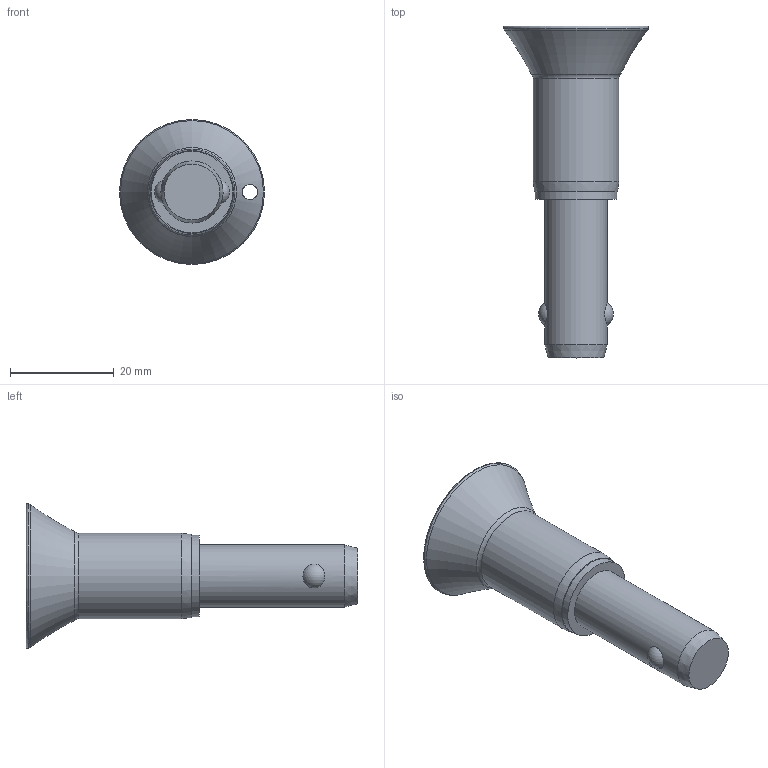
import cadquery as cq
import math


overall_length = 64.1
handle_length = 33.45
collar_length = 1.5
handle_edge_length = 2.0
head_length = 9.3
neck_blend_length = 0.9
tip_length = 2.55
ball_to_tip = 8.5

head_radius = 14.0
head_neck_radius = 8.6
handle_radius = 8.25
handle_edge_radius = 8.0
collar_radius = 7.85
shank_radius = 6.0
tip_radius = 5.4

rim_round = 0.4
rim_front_inset = 0.2

flare_sag = 0.2
rim_front_sag = 0.05
handle_edge_sag = 0.06

ball_reach = 7.25
ball_radius = 2.42

hole_diameter = 3.0
hole_offset = 11.2

tip_y = handle_length - overall_length
tip_start_y = tip_y + tip_length
head_neck_y = handle_length - head_length
neck_end_y = head_neck_y - neck_blend_length
rim_edge_y = handle_length - rim_round
rim_front_y = rim_edge_y - rim_round
ball_y = tip_y + ball_to_tip


def arc_midpoint(start, end, bulge):
    """Middle point of an arc between two (radius, y) points with end above start.

    The arc bulges outward by the given amount, or towards the axis if it is negative.
    """
    chord_r = end[0] - start[0]
    chord_y = end[1] - start[1]
    chord = math.hypot(chord_r, chord_y)
    mid_r = (start[0] + end[0]) / 2
    mid_y = (start[1] + end[1]) / 2
    return (mid_r + bulge * chord_y / chord, mid_y - bulge * chord_r / chord)


def make_body():
    """Shank, handle and head, revolved about Y from one half profile."""
    edge_start = (handle_edge_radius, collar_length)
    edge_end = (handle_radius, collar_length + handle_edge_length)
    neck = (head_neck_radius, head_neck_y)
    rim_front = (head_radius - rim_front_inset, rim_front_y)
    rim_edge = (head_radius, rim_edge_y)
    rim_back = (head_radius - rim_round, handle_length)
    profile = (
        cq.Workplane("XY")
        .moveTo(0, tip_y)
        .lineTo(tip_radius, tip_y)
        .lineTo(shank_radius, tip_start_y)
        .lineTo(shank_radius, 0)
        .lineTo(collar_radius, 0)
        .lineTo(collar_radius, collar_length)
        .lineTo(*edge_start)
        .threePointArc(arc_midpoint(edge_start, edge_end, handle_edge_sag), edge_end)
        .lineTo(handle_radius, neck_end_y)
        .tangentArcPoint(neck, relative=False)
        .threePointArc(arc_midpoint(neck, rim_front, -flare_sag), rim_front)
        .threePointArc(arc_midpoint(rim_front, rim_edge, rim_front_sag), rim_edge)
        .tangentArcPoint(rim_back, relative=False)
        .lineTo(0, handle_length)
        .close()
    )
    return profile.revolve(360, (0, 0, 0), (0, 1, 0))


def add_locking_balls(body):
    """Two balls standing out of opposite sides of the shank."""
    for side in (-1, 1):
        center = (side * (ball_reach - ball_radius), ball_y, 0)
        body = body.union(cq.Workplane("XY").sphere(ball_radius).translate(center))
    return body


def cut_lanyard_hole(body):
    """Round hole parallel to the axis, through the flared head."""
    hole = (
        cq.Workplane("XZ", origin=(hole_offset, handle_length, 0))
        .circle(hole_diameter / 2)
        .extrude(head_length)
    )
    return body.cut(hole)


result = cut_lanyard_hole(add_locking_balls(make_body()))